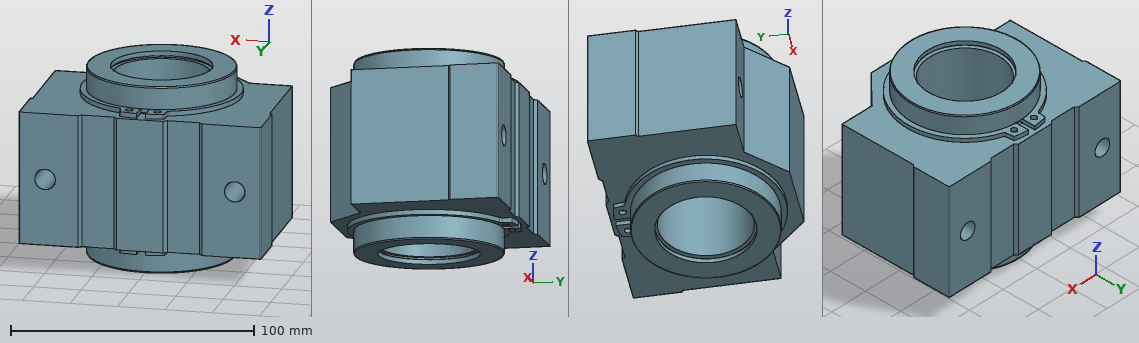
import cadquery as cq
import math


housing_length = 56.4
flange_width = 102.0
side_relief = 1.0
mount_face_y = 40.0
total_depth = 78.0
flange_depth = 20.2
shoulder_y = -22.0
nose_width = 32.0
mount_edge_radius = 0.5
bolt_diameter = 8.7
bolt_spacing = 80.0
relief_spacing = 36.0
relief_floor_width = 13.5
relief_depth = 1.4

sleeve_diameter = 62.0
sleeve_length = 80.0
sleeve_bore = 40.0
lip_bore = 42.0
lip_depth = 2.0
undercut_diameter = 44.0
undercut_length = 0.9
groove_floor_diameter = 59.0
sleeve_chamfer_length = 0.6
sleeve_chamfer_width = 0.3

ring_thickness = 2.0
ring_diameter = 67.1
ring_gap = 3.8
lug_radius = 38.0
lug_top_half_width = 9.3
lug_root_half_width = 9.9
lug_corner_radius = 0.5
lug_root_radius = 1.0
lug_hole_diameter = 3.0
lug_hole_x = 5.9
lug_hole_y = 33.7

half_housing = housing_length / 2
half_sleeve = sleeve_length / 2
ring_bottoms = (half_housing, -half_housing - ring_thickness)


def cylinder(diameter, bottom, height):
    return cq.Workplane("XY").workplane(offset=bottom).circle(diameter / 2).extrude(height)


def housing_block():
    half_width = flange_width / 2
    body_half_width = half_width - side_relief
    flange_end_y = mount_face_y - flange_depth
    nose_y = mount_face_y - total_depth
    nose_half_width = nose_width / 2
    nose_root_half_width = nose_half_width + shoulder_y - nose_y
    right_side = [
        (nose_half_width, nose_y),
        (nose_root_half_width, shoulder_y),
        (body_half_width, shoulder_y),
        (body_half_width, flange_end_y - side_relief),
        (half_width, flange_end_y),
        (half_width, mount_face_y),
    ]
    left_side = [(-x, y) for x, y in reversed(right_side)]
    block = (
        cq.Workplane("XY")
        .workplane(offset=-half_housing)
        .polyline(right_side + left_side)
        .close()
        .extrude(housing_length)
    )
    mount_corners = cq.selectors.BoxSelector(
        (-flange_width, mount_face_y - mount_edge_radius, -housing_length),
        (flange_width, mount_face_y + mount_edge_radius, housing_length),
    )
    return block.edges("|Z").edges(mount_corners).fillet(mount_edge_radius)


def mount_face_groove(center_x):
    """Shallow groove along Z with 45 degree flanks."""
    floor_half = relief_floor_width / 2
    mouth_half = floor_half + relief_depth
    floor_y = mount_face_y - relief_depth
    return (
        cq.Workplane("XY")
        .workplane(offset=-half_housing)
        .polyline([
            (center_x - mouth_half, mount_face_y),
            (center_x - floor_half, floor_y),
            (center_x + floor_half, floor_y),
            (center_x + mouth_half, mount_face_y),
        ])
        .close()
        .extrude(housing_length)
    )


def make_housing():
    body = housing_block()
    for side in (-1, 1):
        body = body.cut(mount_face_groove(side * relief_spacing / 2))
    bolt_holes = (
        cq.Workplane("XZ")
        .pushPoints([(-bolt_spacing / 2, 0), (bolt_spacing / 2, 0)])
        .circle(bolt_diameter / 2)
        .extrude(total_depth, both=True)
    )
    sleeve_seat = cylinder(sleeve_diameter, -half_housing, housing_length)
    return body.cut(bolt_holes).cut(sleeve_seat)


def make_sleeve():
    outer_radius = sleeve_diameter / 2
    end_radius = outer_radius - sleeve_chamfer_width
    chamfer_z = half_sleeve - sleeve_chamfer_length
    lip_z = half_sleeve - lip_depth
    undercut_z = lip_z - undercut_length
    sleeve = (
        cq.Workplane("XZ")
        .polyline([
            (sleeve_bore / 2, -undercut_z),
            (undercut_diameter / 2, -undercut_z),
            (undercut_diameter / 2, -lip_z),
            (lip_bore / 2, -lip_z),
            (lip_bore / 2, -half_sleeve),
            (end_radius, -half_sleeve),
            (outer_radius, -chamfer_z),
            (outer_radius, chamfer_z),
            (end_radius, half_sleeve),
            (lip_bore / 2, half_sleeve),
            (lip_bore / 2, lip_z),
            (undercut_diameter / 2, lip_z),
            (undercut_diameter / 2, undercut_z),
            (sleeve_bore / 2, undercut_z),
        ])
        .close()
        .revolve(360, (0, 0, 0), (0, 1, 0))
    )
    for bottom in ring_bottoms:
        groove = cylinder(sleeve_diameter, bottom, ring_thickness).cut(
            cylinder(groove_floor_diameter, bottom, ring_thickness)
        )
        sleeve = sleeve.cut(groove)
    return sleeve


def round_lug_edges(ring, half_width, y, radius):
    """Round the mirrored pair of vertical lug edges at X = +-half_width."""
    tolerance = 0.05
    for x in (-half_width, half_width):
        edge_zone = cq.selectors.BoxSelector(
            (x - tolerance, y - tolerance, -sleeve_length),
            (x + tolerance, y + tolerance, sleeve_length),
        )
        ring = ring.edges("|Z").edges(edge_zone).fillet(radius)
    return ring


def make_retaining_ring(bottom):
    """Open ring with two lugs beside the gap, on the mounting face side."""
    plane = cq.Workplane("XY").workplane(offset=bottom)
    lug_top_y = math.sqrt(lug_radius**2 - lug_top_half_width**2)
    lug_root_y = math.sqrt((ring_diameter / 2)**2 - lug_root_half_width**2)
    lugs = (
        plane.moveTo(-lug_root_half_width, lug_root_y)
        .lineTo(-lug_top_half_width, lug_top_y)
        .threePointArc((0, lug_radius), (lug_top_half_width, lug_top_y))
        .lineTo(lug_root_half_width, lug_root_y)
        .close()
        .extrude(ring_thickness)
    )
    lug_holes = (
        plane.pushPoints([(-lug_hole_x, lug_hole_y), (lug_hole_x, lug_hole_y)])
        .circle(lug_hole_diameter / 2)
        .extrude(ring_thickness)
    )
    gap = plane.center(0, lug_radius / 2).rect(ring_gap, lug_radius).extrude(ring_thickness)
    inner = cylinder(groove_floor_diameter, bottom, ring_thickness)
    ring = cylinder(ring_diameter, bottom, ring_thickness).union(lugs)
    ring = round_lug_edges(ring, lug_top_half_width, lug_top_y, lug_corner_radius)
    ring = round_lug_edges(ring, lug_root_half_width, lug_root_y, lug_root_radius)
    return ring.cut(inner).cut(gap).cut(lug_holes)


housing = make_housing()
sleeve = make_sleeve()
retaining_rings = [make_retaining_ring(bottom) for bottom in ring_bottoms]

result = cq.Compound.makeCompound(
    [housing.val(), sleeve.val(), *[ring.val() for ring in retaining_rings]]
)